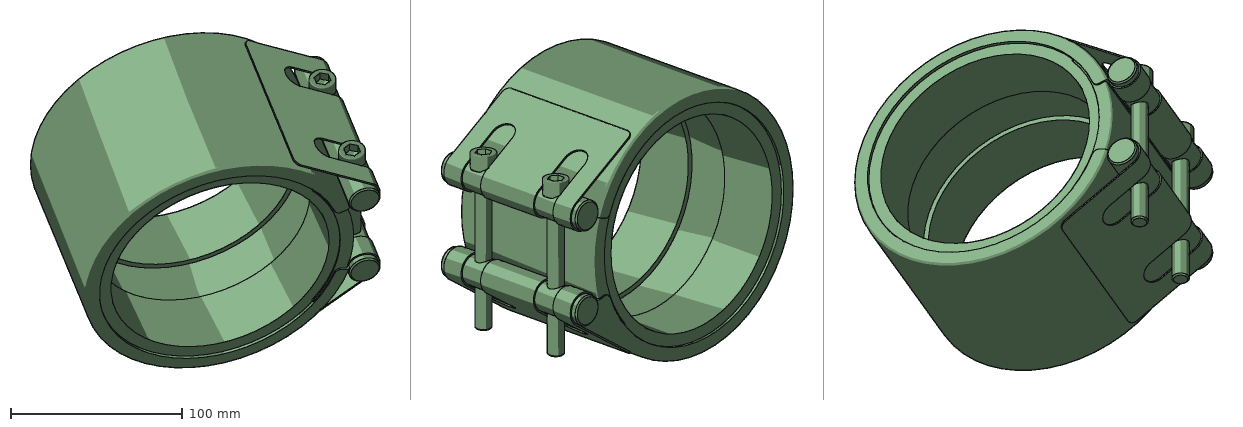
import cadquery as cq
import math


overall_depth = 181.3

ring_width = 112.4
ring_radius = 83.0
bore_radius = 66.5
groove_width = 30.1
groove_depth = 3.0
sheet = 1.0
casing_lip_radius = 74.1
casing_edge_fillet = 2.0
casing_corner_fillet = 3.6
casing_end_overlap = 0.5

bridge_radius = 81.5
bridge_lip_radius = 73.0
bridge_edge_fillet = 1.5
bridge_half_angle = 40.0

pin_radius = 9.5
pin_z = 29.7
pin_chamfer = 0.9
strap_width = 104.5
strap_sink = 0.09
strap_corner_fillet = 4.5
slot_width = 16.1
slot_from_tip = 22.5

bolt_x = 30.0
shank_radius = 5.0
shank_bottom_z = -64.2
shank_chamfer = 0.9
head_radius = 7.8
head_top_z = 46.2
head_height = 10.0
head_fillet = 0.4
socket_corner_diameter = 10.0
socket_depth = 5.0
socket_tip_depth = 8.0

loop_radius = pin_radius + sheet
pin_y = overall_depth - ring_radius - loop_radius
pin_distance = math.hypot(pin_y, pin_z)
pin_angle = math.degrees(math.atan2(pin_z, pin_y))

strap_inner = ring_radius - strap_sink
strap_outer = strap_inner + sheet
strap_angle = pin_angle + math.degrees(math.acos((strap_outer - loop_radius) / pin_distance))


def polar(radius, angle, center=(0, 0)):
    """Point in the YZ plane at an angle measured from +Y towards +Z."""
    turn = math.radians(angle)
    return (center[0] + radius * math.cos(turn), center[1] + radius * math.sin(turn))


def cylinder_x(radius, width):
    return cq.Workplane("YZ").circle(radius).extrude(width / 2, both=True)


def ring_sector(inner, outer, width, edge_fillet, start_angle, sweep):
    """Part of a ring around X with rounded outer rims, starting at start_angle from +Y."""
    section = (
        cq.Sketch()
        .push([(0, (inner + outer) / 2)])
        .rect(width, outer - inner)
        .reset()
        .vertices(">Y")
        .fillet(edge_fillet)
    )
    sector = cq.Workplane("XY").placeSketch(section).revolve(sweep, (0, 0, 0), (1, 0, 0))
    return sector.rotate((0, 0, 0), (1, 0, 0), start_angle)


def make_seal():
    """Inner sleeve with a wide groove in its bore."""
    width = ring_width - 4 * sheet
    seal = cylinder_x(bridge_radius - sheet, width).cut(cylinder_x(bore_radius, width))
    return seal.cut(cylinder_x(bore_radius + groove_depth, groove_width))


def make_bridge():
    width = ring_width - 2 * sheet
    return ring_sector(
        bridge_lip_radius, bridge_radius, width, bridge_edge_fillet,
        -bridge_half_angle, 2 * bridge_half_angle,
    )


def make_casing():
    end_angle = pin_angle - casing_end_overlap
    casing = ring_sector(
        casing_lip_radius, ring_radius, ring_width, casing_edge_fillet,
        end_angle, 360 - 2 * end_angle,
    )
    for side in (1, -1):
        y, z = polar(casing_lip_radius, side * end_angle)
        casing = casing.edges(cq.NearestToPointSelector((0, y, z))).fillet(casing_corner_fillet)
    return casing


def make_strap():
    """Sheet that leaves the ring, loops around the pin and runs flat back onto the ring."""
    pin_center = (pin_y, pin_z)
    loop_end = pin_angle - 180
    loop_middle = (strap_angle + loop_end) / 2
    strap = (
        cq.Workplane("YZ")
        .moveTo(*polar(strap_outer, strap_angle))
        .lineTo(*polar(loop_radius, strap_angle, pin_center))
        .threePointArc(polar(loop_radius, loop_middle, pin_center), polar(loop_radius, loop_end, pin_center))
        .lineTo(*polar(pin_radius, loop_end, pin_center))
        .threePointArc(polar(pin_radius, loop_middle, pin_center), polar(pin_radius, strap_angle, pin_center))
        .lineTo(*polar(strap_inner, strap_angle))
        .close()
        .extrude(strap_width / 2, both=True)
    )
    normal = cq.Vector(0, *polar(1, strap_angle))
    strap = strap.edges(cq.selectors.ParallelDirSelector(normal)).fillet(strap_corner_fillet)

    tip_plane = cq.Plane(origin=(normal * strap_outer).toTuple(), xDir=(1, 0, 0), normal=normal.toTuple())
    slot_length = 2 * slot_width
    slots = (
        cq.Workplane(tip_plane)
        .pushPoints([(x, slot_from_tip + slot_length / 2) for x in (-bolt_x, bolt_x)])
        .slot2D(slot_length, slot_width, 90)
        .extrude(2 * sheet, both=True)
    )
    loop_cuts = (
        cq.Workplane("XY")
        .pushPoints([(x, pin_y - slot_width / 2 + loop_radius) for x in (-bolt_x, bolt_x)])
        .rect(slot_width, 2 * loop_radius)
        .extrude(pin_z + 2 * loop_radius)
    )
    return strap.cut(slots).cut(loop_cuts)


def make_pin():
    pin = cylinder_x(pin_radius, ring_width).faces("<X or >X").chamfer(pin_chamfer)
    return pin.translate((0, pin_y, pin_z))


def make_bolt():
    """Bolt with its axis on Z."""
    shank = (
        cq.Workplane("XY", origin=(0, 0, shank_bottom_z))
        .circle(shank_radius)
        .extrude(head_top_z - head_height - shank_bottom_z)
        .faces("<Z")
        .chamfer(shank_chamfer)
    )
    head = (
        cq.Workplane("XY", origin=(0, 0, head_top_z - head_height))
        .circle(head_radius)
        .extrude(head_height)
        .faces(">Z")
        .edges()
        .fillet(head_fillet)
    )
    return shank.union(head)


def make_socket():
    """Hexagon with a conical floor, to be cut from a bolt head."""
    corner_radius = socket_corner_diameter / 2
    hexagon = (
        cq.Workplane("XY", origin=(0, 0, head_top_z - socket_tip_depth))
        .polygon(6, socket_corner_diameter)
        .extrude(socket_tip_depth)
    )
    pointed_core = (
        cq.Workplane("XZ")
        .polyline([
            (0, head_top_z),
            (corner_radius, head_top_z),
            (corner_radius, head_top_z - socket_depth),
            (0, head_top_z - socket_tip_depth),
        ])
        .close()
        .revolve(360, (0, 0, 0), (0, 1, 0))
    )
    return hexagon.intersect(pointed_core)


result = make_seal().union(make_bridge()).union(make_casing())

upper_clamp = make_strap().union(make_pin())
result = result.union(upper_clamp).union(upper_clamp.mirror("XY"))

bolt = make_bolt()
socket = make_socket()
for x in (-bolt_x, bolt_x):
    result = result.union(bolt.translate((x, pin_y, 0)))
    result = result.cut(socket.translate((x, pin_y, 0)))